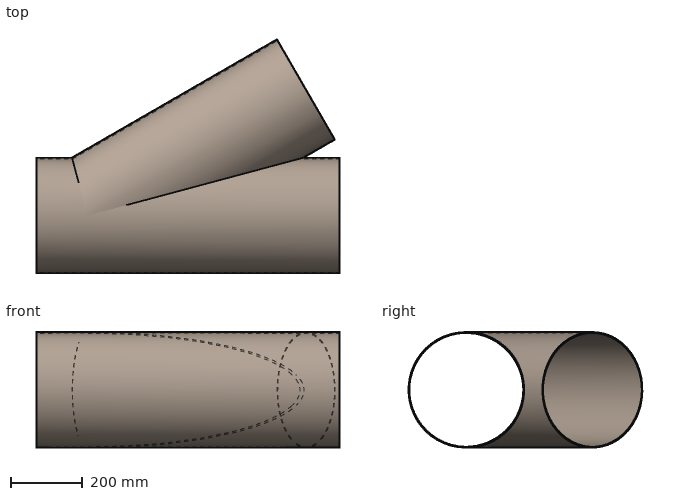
import cadquery as cq
import math

OUTER_DIAMETER = 323.9
WALL = 3.0
RUN_LENGTH = 848.0
BRANCH_ANGLE = 30.0
JUNCTION_X = 143.0

outer_radius = OUTER_DIAMETER / 2
bore_radius = outer_radius - WALL
branch_length = RUN_LENGTH - JUNCTION_X

branch_direction = cq.Vector(
    math.cos(math.radians(BRANCH_ANGLE)),
    math.sin(math.radians(BRANCH_ANGLE)),
    0,
)


def run_cylinder(radius):
    """Full-length cylinder along X, starting at the inlet."""
    return cq.Workplane("YZ").circle(radius).extrude(RUN_LENGTH)


def branch_cylinder(radius):
    """Cylinder from the junction of the axes to the square-cut branch outlet."""
    junction = cq.Vector(JUNCTION_X, 0, 0)
    plane = cq.Plane(origin=junction, xDir=(0, 0, 1), normal=branch_direction)
    return cq.Workplane(plane).circle(radius).extrude(branch_length)


def wye(radius):
    """Run and branch of equal radius, merged where they meet."""
    return run_cylinder(radius).union(branch_cylinder(radius))


result = wye(outer_radius).cut(wye(bore_radius))